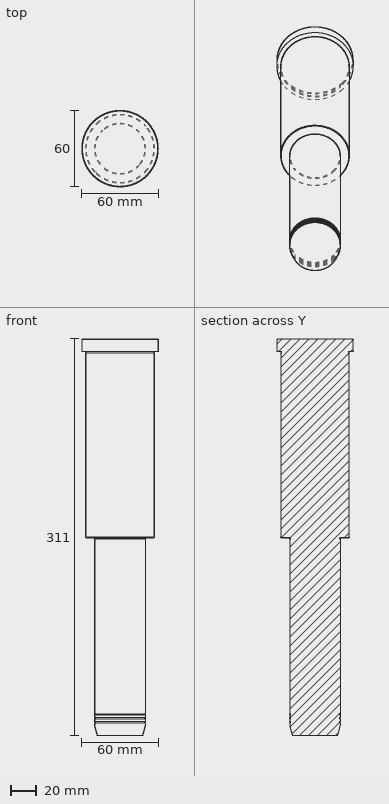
import cadquery as cq
import math

total_length = 311.0
head_diameter = 60.0
head_height = 10.0
body_diameter = 54.0
body_length = 146.0
shank_diameter = 40.0
edge_chamfer = 0.5

nose_height = 8.0
nose_taper_angle = 15.0
nose_edge_radius = 0.5

groove_radius = 0.5
nose_groove_pitch = 3.0
nose_groove_count = 3
first_nose_groove_center = 10.5

head_bottom = total_length - head_height
body_bottom = head_bottom - body_length

head_radius = head_diameter / 2
body_radius = body_diameter / 2
shank_radius = shank_diameter / 2
nose_radius = shank_radius - nose_height * math.tan(math.radians(nose_taper_angle))

axis_start = (0, 0, 0)
axis_end = (0, 1, 0)


def make_blank():
    """Stepped pin: tapered nose, shank, body and head, without grooves."""
    profile = (
        cq.Workplane("XZ")
        .moveTo(0, 0)
        .lineTo(nose_radius, 0)
        .lineTo(shank_radius, nose_height)
        .lineTo(shank_radius, body_bottom)
        .lineTo(body_radius - edge_chamfer, body_bottom)
        .lineTo(body_radius, body_bottom + edge_chamfer)
        .lineTo(body_radius, head_bottom)
        .lineTo(head_radius, head_bottom)
        .lineTo(head_radius, total_length - edge_chamfer)
        .lineTo(head_radius - edge_chamfer, total_length)
        .lineTo(0, total_length)
        .close()
    )
    blank = profile.revolve(360, axis_start, axis_end)
    return blank.faces("<Z").edges().fillet(nose_edge_radius)


def cut_groove(part, surface_radius, center_height):
    """Cut a semicircular ring groove into a cylinder of the given radius."""
    section = (
        cq.Workplane("XZ")
        .moveTo(surface_radius, center_height - groove_radius)
        .threePointArc(
            (surface_radius - groove_radius, center_height),
            (surface_radius, center_height + groove_radius),
        )
        .close()
    )
    return part.cut(section.revolve(360, axis_start, axis_end))


result = make_blank()

for index in range(nose_groove_count):
    result = cut_groove(result, shank_radius, first_nose_groove_center + index * nose_groove_pitch)

result = cut_groove(result, shank_radius, body_bottom - groove_radius)
result = cut_groove(result, body_radius, head_bottom - groove_radius)